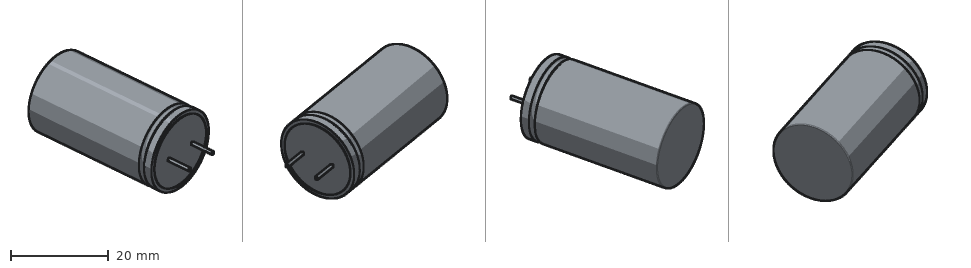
import cadquery as cq

total_length = 38.5
can_diameter = 18.5
can_edge_radius = 0.2
pin_length = 5.5
pin_diameter = 0.8
pin_pitch = 7.47
seal_diameter = 16.65
seal_thickness = 0.1
groove_radius = 0.7
groove_center_x = 30.23

can_radius = can_diameter / 2
seal_end_x = total_length - pin_length
can_length = seal_end_x - seal_thickness


def cylinder_along_x(start_x, length, diameter, y=0.0):
    """Solid round bar parallel to X, starting at start_x."""
    return cq.Workplane("YZ", origin=(start_x, y, 0)).circle(diameter / 2).extrude(length)


def make_can():
    """Can with a rounded closed end and a half-round crimp groove near the other end."""
    profile = (
        cq.Workplane("XZ")
        .lineTo(0, can_radius - can_edge_radius)
        .radiusArc((can_edge_radius, can_radius), can_edge_radius)
        .lineTo(groove_center_x - groove_radius, can_radius)
        .threePointArc(
            (groove_center_x, can_radius - groove_radius),
            (groove_center_x + groove_radius, can_radius),
        )
        .lineTo(can_length, can_radius)
        .lineTo(can_length, 0)
        .close()
    )
    return profile.revolve(360, (0, 0, 0), (1, 0, 0))


def make_seal():
    """Thin sealing disc on the open end of the can."""
    return cylinder_along_x(can_length, seal_thickness, seal_diameter)


def make_pin(y):
    """Straight round lead standing on the seal."""
    return cylinder_along_x(seal_end_x, pin_length, pin_diameter, y)


can = make_can()
seal = make_seal()
pins = [make_pin(side * pin_pitch / 2) for side in (-1, 1)]

result = cq.Compound.makeCompound([can.val(), seal.val(), *[pin.val() for pin in pins]])